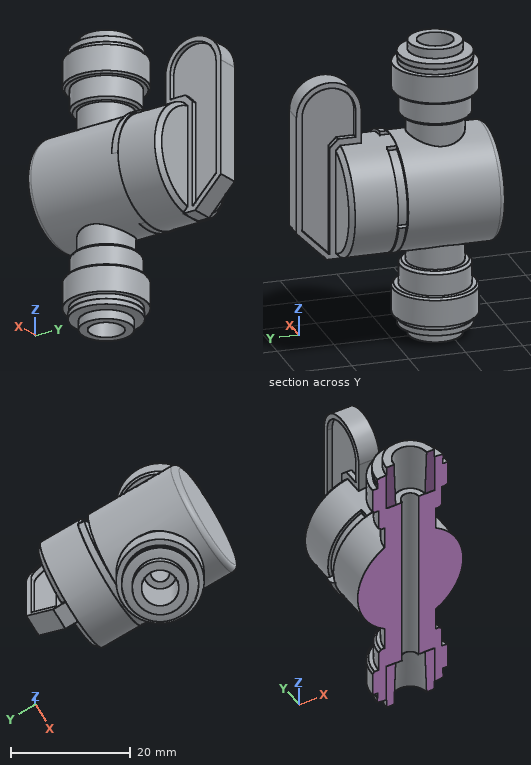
import cadquery as cq
import math


barrel_radius = 20.6 / 2
barrel_front = -9.25
front_fillet = 1.0
seam = 9.75

stop_width = 1.8
stop_depth = 0.65
tab_width = 3.75
stop_end_drop = 2.5
ramp_height = 0.65
ramp_chamfer = 0.55
ramp_sweep = 90

tube_radius = 10.0 / 2
shoulder_radius = 12.4 / 2
shoulder_bottom = 13.2
shoulder_chamfer = 0.5
collar_radius = 14.75 / 2
collar_bottom = 17.45
collar_top = 22.6
collar_chamfer = 0.35
neck_radius = 6.35
rim_radius = 6.45
rim_bottom = 23.55
rim_edge = 24.55
rim_top = 24.8
pipe_end = 26.45
bore_radius = 1.6

collet_radius = 9.35 / 2
collet_mouth_radius = 3.1
collet_inner_radius = 2.8
collet_seat = collar_bottom

knob_back = 18.15
knob_chamfer = 0.85
lever_thickness = 4.0
lever_back = 25.0
lever_radius = 5.7
lever_top = 21.65
lever_bevel = 5.3
lever_rim = 1.0
lever_pocket_depth = 1.0

stop_front = seam - stop_width
stop_floor_radius = barrel_radius - stop_depth
ramp_peak = barrel_radius + ramp_height
knob_edge = knob_back - knob_chamfer
lever_front = lever_back - 2 * lever_radius


def barrel(front, back, radius):
    """Cylinder on the Y axis from front to back, turned so that its seam line runs along the top."""
    cylinder = cq.Workplane("XZ", origin=(0, back, 0)).circle(radius).extrude(back - front)
    return cylinder.rotate((0, 0, 0), (0, 1, 0), -90)


def block(x_range, y_range, z_range):
    """Box between the given limits on each axis."""
    low, high = zip(x_range, y_range, z_range)
    size = [end - start for start, end in zip(low, high)]
    return cq.Workplane("XY").box(*size, centered=False).translate(low)


def lower(upper):
    """Mirror copy below the barrel axis."""
    return upper.mirror("XY")


def stop_ring(outer_radius, left, right):
    """Ring of the stop groove's width, kept from left to right in X and above the groove's lower end."""
    ring = barrel(stop_front, seam, outer_radius).cut(barrel(stop_front, seam, stop_floor_radius))
    return ring.intersect(block((left, right), (stop_front, seam), (-stop_end_drop, ramp_peak)))


def ramp_sector(start_angle, end_angle):
    """Triangular slice of space around the Y axis; angles run from +X towards +Z."""
    reach = 2 * barrel_radius
    corners = [(0, 0)]
    for angle in (math.radians(start_angle), math.radians(end_angle)):
        corners.append((reach * math.cos(angle), reach * math.sin(angle)))
    return cq.Workplane("XZ", origin=(0, seam, 0)).polyline(corners).close().extrude(stop_width)


def stop_ramp(start_angle, direction):
    """Ramp, full height at start_angle, that fades into the barrel a quarter turn further on.

    Its outside is an eccentric disc, tangent to the barrel where the ramp ends.
    """
    disc_radius = (barrel_radius**2 + ramp_peak**2) / (2 * barrel_radius)
    eccentricity = barrel_radius - disc_radius
    end_angle = start_angle + direction * ramp_sweep
    end_radians = math.radians(end_angle)
    disc = barrel(stop_front, seam, disc_radius).faces("<Y").chamfer(ramp_chamfer, ramp_height)
    disc = disc.translate((
        eccentricity * math.cos(end_radians),
        0,
        eccentricity * math.sin(end_radians),
    ))
    return disc.intersect(ramp_sector(start_angle, end_angle))


def upper_pipe_end():
    """Stepped pipe end with a domed rim, revolved about Z from the barrel axis up."""
    profile = (
        cq.Workplane("XZ")
        .moveTo(0, rim_top)
        .lineTo(collet_radius, rim_top)
        .tangentArcPoint((rim_radius, rim_edge), relative=False)
        .lineTo(rim_radius, rim_bottom)
        .lineTo(neck_radius, rim_bottom)
        .lineTo(neck_radius, collar_top)
        .lineTo(collar_radius, collar_top)
        .lineTo(collar_radius, collar_bottom + collar_chamfer)
        .lineTo(collar_radius - collar_chamfer, collar_bottom)
        .lineTo(shoulder_radius, collar_bottom)
        .lineTo(shoulder_radius, shoulder_bottom + shoulder_chamfer)
        .lineTo(shoulder_radius - shoulder_chamfer, shoulder_bottom)
        .lineTo(tube_radius, shoulder_bottom)
        .lineTo(tube_radius, 0)
        .lineTo(0, 0)
        .close()
    )
    return profile.revolve(360, (0, 0, 0), (0, 1, 0))


def make_housing():
    """Closed barrel with a pipe end above and below, bored through along Z."""
    body = barrel(barrel_front, seam, barrel_radius).faces("<Y").edges().fillet(front_fillet)

    left_ramp_angle = 180 + math.degrees(math.asin(stop_end_drop / ramp_peak))
    body = body.union(stop_ramp(90, -1)).union(stop_ramp(left_ramp_angle, 1))
    body = body.cut(stop_ring(ramp_peak, -ramp_peak, 0))

    pipe = upper_pipe_end()
    body = body.union(pipe).union(lower(pipe))

    bore = cq.Workplane("XY").circle(bore_radius).extrude(pipe_end, both=True)
    seat = (
        cq.Workplane("XY", origin=(0, 0, collet_seat))
        .circle(collet_radius)
        .extrude(pipe_end - collet_seat)
    )
    return body.cut(bore).cut(seat).cut(lower(seat))


def make_upper_collet():
    """Sleeve whose bore narrows evenly from the mouth to the seat."""
    return (
        cq.Workplane("XZ")
        .moveTo(collet_inner_radius, collet_seat)
        .lineTo(collet_radius, collet_seat)
        .lineTo(collet_radius, pipe_end)
        .lineTo(collet_mouth_radius, pipe_end)
        .close()
        .revolve(360, (0, 0, 0), (0, 1, 0))
    )


def lever_outline():
    """Outline of the lever on its -X face, hooked over the back and top of the grip."""
    arc_center_z = lever_top - lever_radius
    return (
        cq.Workplane("YZ", origin=(-lever_thickness / 2, 0, 0))
        .moveTo(lever_front, arc_center_z)
        .threePointArc((lever_back - lever_radius, lever_top), (lever_back, arc_center_z))
        .lineTo(lever_back, lever_bevel - barrel_radius)
        .lineTo(lever_back - lever_bevel, -barrel_radius)
        .lineTo(knob_back, -barrel_radius)
        .lineTo(knob_back, barrel_radius - knob_chamfer)
        .lineTo(knob_edge, barrel_radius)
        .lineTo(lever_front, barrel_radius)
        .close()
    )


def make_lever():
    """Flat lever with a shallow pocket in each side and solid roots running into the grip."""
    lever = lever_outline().extrude(lever_thickness)
    pocket = lever_outline().offset2D(-lever_rim, "intersection").extrude(lever_pocket_depth)
    lever = lever.cut(pocket).cut(pocket.mirror("YZ"))

    thickness_range = (-lever_thickness / 2, lever_thickness / 2)
    back_root = block(thickness_range, (knob_edge, knob_back), (-barrel_radius, barrel_radius))
    top_root = block(thickness_range, (lever_front, knob_edge), (0, barrel_radius))
    return lever.union(back_root).union(top_root)


def make_knob():
    """Round grip with its lever and the tab that travels in the stop groove."""
    grip = barrel(seam, knob_back, barrel_radius).faces(">Y").chamfer(knob_chamfer)
    tab = stop_ring(barrel_radius, -tab_width, 0)
    return grip.union(make_lever()).union(tab)


housing = make_housing()
knob = make_knob()
upper_collet = make_upper_collet()
collets = [upper_collet, lower(upper_collet)]

result = cq.Compound.makeCompound(
    [housing.solids().val(), knob.solids().val(), *[collet.val() for collet in collets]]
)